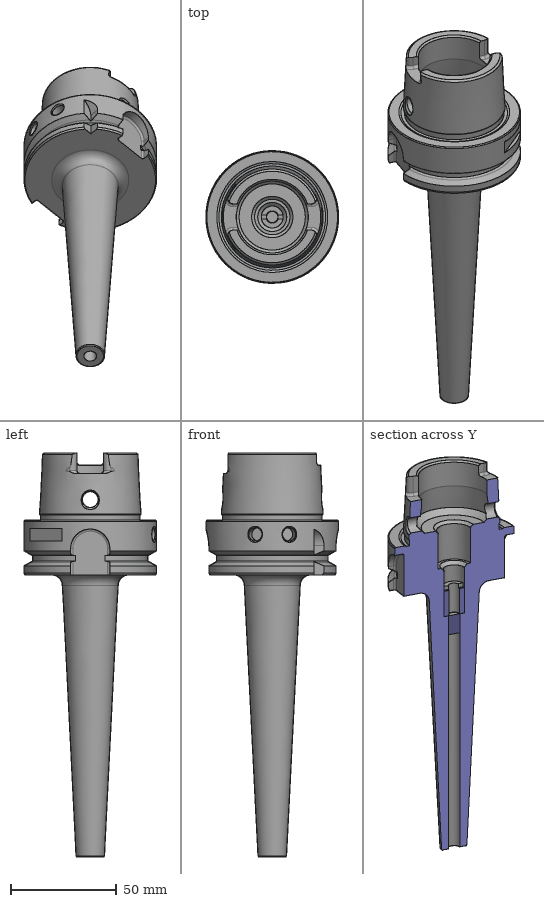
import cadquery as cq
import math


shank_top = 32.0
gauge_height = 6.3
gauge_radius = 24.0
taper_slope = 1 / 20
rim_radius = 21.7
rim_chamfer_height = 0.8
relief_radius = 23.7
relief_top = 2.9
relief_ramp = 0.5
face_recess_radius = 26.3
face_recess_floor_radius = 25.3
face_recess_depth = 0.4

flange_radius = 31.5
flange_bottom = -26.0
flange_top_chamfer = 0.5
flange_bottom_chamfer_width = 0.5
flange_bottom_chamfer_height = 1.0
groove_center = -18.1
groove_radius = 27.4
groove_floor_half = 1.3
groove_step_radius = 28.6
groove_step_half = 1.9
groove_flank_angle = 30.0
groove_flank_height = (flange_radius - groove_step_radius) * math.tan(math.radians(groove_flank_angle))

neck_fillet = 5.0
neck_top_radius = 13.3
neck_top = flange_bottom - neck_fillet
tip_z = -159.9
tip_radius = 6.8
tip_chamfer = 0.5

mouth_radius = 17.9
clamp_bore_radius = 17.05
clamp_edge = 19.0
undercut_radius = 18.5
undercut_bottom = 7.4
bore_floor_radius = 15.7
bore_floor = undercut_bottom - (undercut_radius - bore_floor_radius)

thread_chamfer_radius = 9.8
thread_radius = 8.4
thread_bottom = -15.0
screw_lead_radius = 6.9
screw_radius = 5.2
screw_seat = -40.0
tool_radius = 3.0

screw_length = 15.0
screw_hole_radius = 2.7
screw_slot_width = 1.75
screw_slot_depth = 2.0
pin_length = 10.0

drive_slot_width = 12.54
drive_slot_round = 2.5
drive_slot_face = 21.1
drive_slot_floor_fillet = 1.4
drive_slot_depths = {-1: 9.8, 1: 5.9}

access_radius = 3.75
access_sink_radius = 4.7
access_z = 9.8

keyway_floor_x = 26.5
keyway_widths = {-1: 18.6, 1: 17.2}
keyway_apex = -4.2
keyway_floor_fillet = 1.0

notch_x = 19.9
notch_y = -19.8
notch_radius = 8.5
notch_arc_z = -11.9

balance_radius = 3.2
balance_sink_radius = 3.8
balance_depth = 6.0
balance_z = -6.7
balance_angles = (-105, -75)
label_distance = 29.66
label_angle = 135
label_height = 6.0
label_z = -6.9

margin = 5.0


def taper_radius(z):
    return gauge_radius - (z - gauge_height) * taper_slope


def holder_blank():
    """Solid of revolution with the shank, flange and neck outside and all the bores inside."""
    rim_edge = shank_top - rim_chamfer_height
    fillet_mid = neck_fillet * (1 - math.sqrt(0.5))
    step_top = groove_center + groove_step_half
    step_bottom = groove_center - groove_step_half
    outline = (
        cq.Workplane("XZ")
        .moveTo(mouth_radius, shank_top)
        .lineTo(rim_radius, shank_top)
        .lineTo(taper_radius(rim_edge), rim_edge)
        .lineTo(taper_radius(relief_top), relief_top)
        .lineTo(relief_radius, relief_top - relief_ramp)
        .lineTo(relief_radius, -face_recess_depth)
        .lineTo(face_recess_floor_radius, -face_recess_depth)
        .lineTo(face_recess_radius, 0)
        .lineTo(flange_radius - flange_top_chamfer, 0)
        .lineTo(flange_radius, -flange_top_chamfer)
        .lineTo(flange_radius, step_top + groove_flank_height)
        .lineTo(groove_step_radius, step_top)
        .lineTo(groove_radius, groove_center + groove_floor_half)
        .lineTo(groove_radius, groove_center - groove_floor_half)
        .lineTo(groove_step_radius, step_bottom)
        .lineTo(flange_radius, step_bottom - groove_flank_height)
        .lineTo(flange_radius, flange_bottom + flange_bottom_chamfer_height)
        .lineTo(flange_radius - flange_bottom_chamfer_width, flange_bottom)
        .lineTo(neck_top_radius + neck_fillet, flange_bottom)
        .threePointArc(
            (neck_top_radius + fillet_mid, flange_bottom - fillet_mid),
            (neck_top_radius, neck_top),
        )
        .lineTo(tip_radius, tip_z + tip_chamfer)
        .lineTo(tip_radius - tip_chamfer, tip_z)
        .lineTo(tool_radius, tip_z)
        .lineTo(tool_radius, screw_seat)
        .lineTo(screw_radius, screw_seat)
        .lineTo(screw_radius, thread_bottom - (screw_lead_radius - screw_radius))
        .lineTo(screw_lead_radius, thread_bottom)
        .lineTo(thread_radius, thread_bottom)
        .lineTo(thread_radius, bore_floor - (thread_chamfer_radius - thread_radius))
        .lineTo(thread_chamfer_radius, bore_floor)
        .lineTo(bore_floor_radius, bore_floor)
        .lineTo(undercut_radius, undercut_bottom)
        .lineTo(clamp_bore_radius, clamp_edge)
        .lineTo(clamp_bore_radius, shank_top - (mouth_radius - clamp_bore_radius))
        .close()
    )
    return outline.revolve(360, (0, 0, 0), (0, 1, 0))


def drive_slot(side):
    """Cutter for one rim slot: flared to the outside, with a rounded corner along its floor."""
    half = drive_slot_width / 2
    inner = bore_floor_radius - margin
    outer = gauge_radius + margin
    round_x = drive_slot_face - drive_slot_round
    round_y = half + drive_slot_round
    flare_angle = math.atan2(round_y, round_x)
    mid_angle = (flare_angle - math.pi / 2) / 2
    mid_x = round_x + drive_slot_round * math.cos(mid_angle)
    mid_y = round_y + drive_slot_round * math.sin(mid_angle)
    round_end_x = round_x + drive_slot_round * math.cos(flare_angle)
    round_end_y = round_y + drive_slot_round * math.sin(flare_angle)
    flare_x = round_end_x - margin * math.sin(flare_angle)
    flare_y = round_end_y + margin * math.cos(flare_angle)
    height = drive_slot_depths[side] + margin
    cutter = (
        cq.Workplane("XY", origin=(0, 0, shank_top - drive_slot_depths[side]))
        .moveTo(inner, -half)
        .lineTo(round_x, -half)
        .threePointArc((mid_x, -mid_y), (round_end_x, -round_end_y))
        .lineTo(flare_x, -flare_y)
        .lineTo(outer, -flare_y)
        .lineTo(outer, flare_y)
        .lineTo(flare_x, flare_y)
        .lineTo(round_end_x, round_end_y)
        .threePointArc((mid_x, mid_y), (round_x, half))
        .lineTo(inner, half)
        .close()
        .extrude(height)
        .faces("<Z")
        .edges()
        .fillet(drive_slot_floor_fillet)
    )
    return cutter if side > 0 else cutter.mirror("YZ")


def countersunk_hole(radius, sink_radius, inner, surface):
    """Cutter along +X from `inner` outwards, widened by a 45 degree sink at `surface`."""
    outer = surface + margin
    return (
        cq.Workplane("XY")
        .moveTo(inner, 0)
        .lineTo(inner, radius)
        .lineTo(surface - (sink_radius - radius), radius)
        .lineTo(surface, sink_radius)
        .lineTo(outer, sink_radius)
        .lineTo(outer, 0)
        .close()
        .revolve(360, (0, 0, 0), (1, 0, 0))
    )


def access_hole(side):
    """Radial hole through one side of the shank wall."""
    cutter = countersunk_hole(access_radius, access_sink_radius, bore_floor_radius, taper_radius(access_z))
    cutter = cutter.translate((0, 0, access_z))
    return cutter if side > 0 else cutter.mirror("YZ")


def keyway(side):
    """Cutter for one flange keyway: round top, open bottom, flat floor with rounded corners."""
    half = keyway_widths[side] / 2
    arc_z = keyway_apex - half
    cutter = (
        cq.Workplane("YZ", origin=(keyway_floor_x, 0, 0))
        .moveTo(-half, flange_bottom - margin)
        .lineTo(-half, arc_z)
        .threePointArc((0, keyway_apex), (half, arc_z))
        .lineTo(half, flange_bottom - margin)
        .close()
        .extrude(flange_radius)
        .faces("<X")
        .edges()
        .fillet(keyway_floor_fillet)
    )
    return cutter if side > 0 else cutter.mirror("YZ")


def corner_notch():
    """Cutter for the notch between the +X keyway and the -Y side, with a quarter-round top."""
    arc_y = notch_y - notch_radius
    mid = notch_radius * math.sqrt(0.5)
    return (
        cq.Workplane("YZ", origin=(notch_x, 0, 0))
        .moveTo(notch_y, flange_bottom - margin)
        .lineTo(notch_y, notch_arc_z)
        .threePointArc((arc_y + mid, notch_arc_z + mid), (arc_y, notch_arc_z + notch_radius))
        .lineTo(arc_y - margin, notch_arc_z + notch_radius)
        .lineTo(arc_y - margin, flange_bottom - margin)
        .close()
        .extrude(flange_radius)
    )


def balance_hole(angle):
    """Radial blind hole in the flange rim."""
    hole_floor = flange_radius - balance_depth
    cutter = countersunk_hole(balance_radius, balance_sink_radius, hole_floor, flange_radius)
    return cutter.translate((0, 0, balance_z)).rotate((0, 0, 0), (0, 0, 1), angle)


def label_flat():
    """Flat milled into the flange rim."""
    return (
        cq.Workplane("XY")
        .box(flange_radius, 2 * flange_radius, label_height, centered=(False, True, True))
        .translate((label_distance, 0, label_z))
        .rotate((0, 0, 0), (0, 0, 1), label_angle)
    )


def make_holder():
    holder = holder_blank()
    for side in (-1, 1):
        holder = holder.cut(drive_slot(side))
        holder = holder.cut(access_hole(side))
        holder = holder.cut(keyway(side))
    for angle in balance_angles:
        holder = holder.cut(balance_hole(angle))
    return holder.cut(corner_notch()).cut(label_flat())


def make_adjusting_screw():
    """Headless slotted screw with a coolant hole, resting on the seat in the neck."""
    screw_top = screw_seat + screw_length
    slot = cq.Workplane("XY", origin=(0, 0, screw_top)).box(
        2 * screw_radius, screw_slot_width, 2 * screw_slot_depth
    )
    return (
        cq.Workplane("XY", origin=(0, 0, screw_seat))
        .circle(screw_radius)
        .circle(screw_hole_radius)
        .extrude(screw_length)
        .cut(slot)
    )


def make_stop_pin():
    """Pin at the upper end of the tool bore, just under the screw."""
    return cq.Workplane("XY", origin=(0, 0, screw_seat)).circle(tool_radius).extrude(-pin_length)


holder = make_holder()
adjusting_screw = make_adjusting_screw()
stop_pin = make_stop_pin()
result = cq.Compound.makeCompound([holder.val(), adjusting_screw.val(), stop_pin.val()])